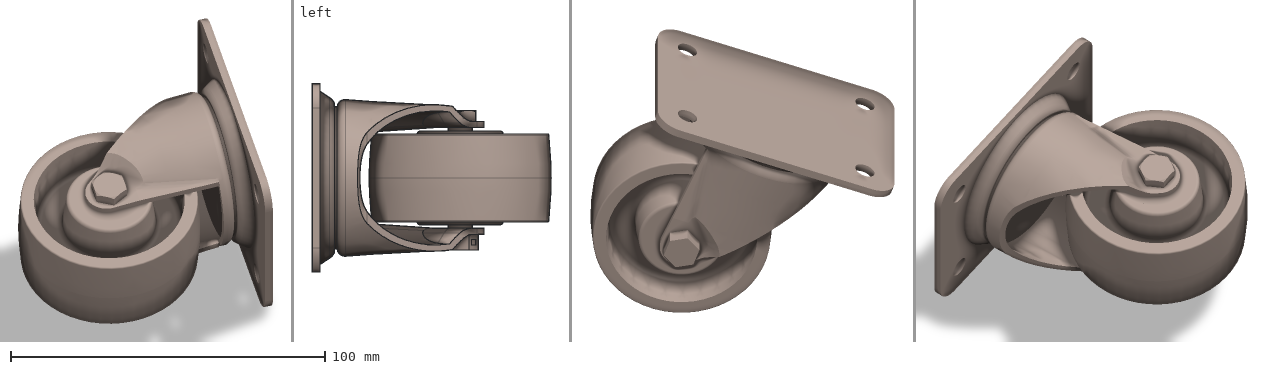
import cadquery as cq
import math


OVERALL_LENGTH = 84.0
PLATE_LENGTH = 80.0
PLATE_WIDTH = 60.0
PLATE_THICKNESS = 2.5
PLATE_CORNER_RADIUS = 7.7
MOUNT_HOLE_PITCH_X = 60.0
MOUNT_HOLE_PITCH_Z = 40.0
MOUNT_HOLE_DIAMETER = 6.5

RACE_BASE_RADIUS = 27.55
RACE_SHOULDER_RADIUS = 25.5
RACE_SHOULDER_Y = -5.55
RACE_END_RADIUS = 23.8
RACE_END_Y = -7.05
NECK_RADIUS = 22.7

FORK_TOP_Y = -7.9
FORK_WALL = 2.0
FORK_RADIUS = 24.95
FORK_TOP_FILLET = 2.6
FORK_RIM_Y = -11.9
FORK_TAPER = 0.055
FORK_FRONT_Y = -14.4
FORK_EDGE_START = (-19.8, -17.5)
FORK_BACK_TOP_X = 19.15
EAR_Z = 18.0
EAR_BEND_Y = -38.6
BACK_TOP_Z = 16.1
BACK_FILLET = 2.35
EAR_CENTER = (14.95, -48.0)
EAR_RADIUS = 6.7
DISH_FLAT_RADIUS = 6.05
DISH_RIM_Z = 23.7
DISH_BEND = 3.2
DISH_SLOPE = 45.0
DISH_ANGLE = 52.0

AXLE_Y = -47.0
WHEEL_RADIUS = 29.0
WHEEL_HALF_WIDTH = 14.0
TREAD_EDGE_RADIUS = 28.2
TREAD_FILLET = 0.5
RIM_MOUTH_RADIUS = 24.0
RIM_ROOT_RADIUS = 23.0
WEB_HALF_THICKNESS = 2.0
WEB_FILLET = 1.6
HUB_HALF_WIDTH = 14.95
HUB_ROOT_RADIUS = 14.95
HUB_TOP_RADIUS = 13.7
HUB_FILLET = 1.1

BUSH_RADIUS = 10.1
SPACER_RADIUS = 3.9
BOLT_RADIUS = 3.0
HEX_ACROSS_FLATS = 10.0
BOLT_HEAD_HEIGHT = 3.5
HEAD_CHAMFER_HEIGHT = 0.4
NUT_HEIGHT = 4.95
NUT_MARK_LENGTH = 2.7
NUT_MARK_HEIGHT = 1.8
NUT_MARK_DEPTH = 0.1
NUT_MARK_ANGLE = 240.0

REACH = 67.2

AXLE_X = OVERALL_LENGTH - PLATE_LENGTH / 2 - WHEEL_RADIUS
EAR_INNER_Z = EAR_Z - FORK_WALL
HEX_DIAMETER = HEX_ACROSS_FLATS / math.cos(math.radians(30))


def at_axle(body):
    """Move a body built around the Z axis onto the wheel axle."""
    return body.translate((AXLE_X, AXLE_Y, 0))


def cylinder(radius, z_low, z_high):
    return cq.Workplane("XY").workplane(offset=z_low).circle(radius).extrude(z_high - z_low)


def mirrored(shape):
    """A shape together with its mirror image across the mid-plane z = 0."""
    return shape.union(shape.mirror("XY"))


def make_plate():
    plate = (
        cq.Workplane("XZ")
        .rect(PLATE_LENGTH, PLATE_WIDTH)
        .extrude(PLATE_THICKNESS)
        .edges("|Y")
        .fillet(PLATE_CORNER_RADIUS)
    )
    holes = (
        cq.Workplane("XZ")
        .rect(MOUNT_HOLE_PITCH_X, MOUNT_HOLE_PITCH_Z, forConstruction=True)
        .vertices()
        .circle(MOUNT_HOLE_DIAMETER / 2)
        .extrude(PLATE_THICKNESS)
    )
    race = (
        cq.Workplane("XY")
        .moveTo(0, -PLATE_THICKNESS)
        .lineTo(RACE_BASE_RADIUS, -PLATE_THICKNESS)
        .lineTo(RACE_SHOULDER_RADIUS, RACE_SHOULDER_Y)
        .tangentArcPoint((RACE_END_RADIUS, RACE_END_Y), relative=False)
        .lineTo(NECK_RADIUS, RACE_END_Y)
        .lineTo(NECK_RADIUS, FORK_TOP_Y)
        .lineTo(0, FORK_TOP_Y)
        .close()
        .revolve(360, (0, 0), (0, 1))
    )
    return plate.cut(holes).union(race)


def fork_radius(y):
    """Outer radius of the tapered fork wall at height y."""
    return FORK_RADIUS - FORK_TAPER * (FORK_TOP_Y - FORK_TOP_FILLET - y)


def make_fork_cap():
    """Round cup that closes the fork against the race."""
    fillet_y = FORK_TOP_Y - FORK_TOP_FILLET
    flat_radius = FORK_RADIUS - FORK_TOP_FILLET
    ceiling_y = FORK_TOP_Y - FORK_WALL
    rim_radius = fork_radius(FORK_RIM_Y)
    return (
        cq.Workplane("XY")
        .moveTo(0, FORK_TOP_Y)
        .lineTo(flat_radius, FORK_TOP_Y)
        .radiusArc((FORK_RADIUS, fillet_y), FORK_TOP_FILLET)
        .lineTo(rim_radius, FORK_RIM_Y)
        .lineTo(rim_radius - FORK_WALL, FORK_RIM_Y)
        .lineTo(fork_radius(ceiling_y) - FORK_WALL, ceiling_y)
        .lineTo(0, ceiling_y)
        .close()
        .revolve(360, (0, 0), (0, 1))
    )


def dish_section(plane, start, inset):
    """S-shaped half section of the dish; an inset gives the inner face of the wall."""
    slope = math.radians(DISH_SLOPE)
    rise = DISH_RIM_Z - EAR_Z
    bend_run = DISH_BEND * math.sin(slope)
    bend_rise = DISH_BEND * (1 - math.cos(slope))
    rim_radius = DISH_FLAT_RADIUS + 2 * bend_run + (rise - 2 * bend_rise) / math.tan(slope)
    floor_bend = DISH_BEND + inset
    rim_bend = DISH_BEND - inset
    floor_z = EAR_Z - inset
    rim_z = DISH_RIM_Z - inset
    wall_bottom = (
        DISH_FLAT_RADIUS + floor_bend * math.sin(slope),
        floor_z + floor_bend * (1 - math.cos(slope)),
    )
    wall_top = (
        rim_radius - rim_bend * math.sin(slope),
        rim_z - rim_bend * (1 - math.cos(slope)),
    )
    return (
        cq.Workplane(plane)
        .moveTo(start, floor_z)
        .lineTo(DISH_FLAT_RADIUS, floor_z)
        .radiusArc(wall_bottom, -floor_bend)
        .lineTo(*wall_top)
        .radiusArc((rim_radius, rim_z), rim_bend)
        .lineTo(rim_radius, REACH)
        .lineTo(start, REACH)
        .close()
    )


def make_dish(inset):
    """Space pressed into a leg: round about the ear centre, running out downwards and towards +X."""
    center = (*EAR_CENTER, 0)
    angle = math.radians(DISH_ANGLE)
    along = (math.cos(angle), math.sin(angle), 0)
    across = (-math.sin(angle), math.cos(angle), 0)
    upright = cq.Plane(origin=center, xDir=(-1, 0, 0), normal=(0, 1, 0))
    slanted = cq.Plane(origin=center, xDir=across, normal=along)
    round_part = dish_section(upright, 0, inset).revolve(90 - DISH_ANGLE, (0, 0), (0, -1))
    lower_part = dish_section(upright, -REACH, inset).extrude(-REACH)
    slanted_part = dish_section(slanted, -REACH, inset).extrude(REACH)
    return round_part.union(lower_part).union(slanted_part)


def make_leg_envelope(inset):
    """Solid bounded by the outer face of the legs, or by their inner face when inset by the wall."""
    top_y = FORK_TOP_Y - FORK_TOP_FILLET
    end_y = -REACH
    cone = (
        cq.Workplane("XY")
        .moveTo(0, top_y)
        .lineTo(fork_radius(top_y) - inset, top_y)
        .lineTo(fork_radius(end_y) - inset, end_y)
        .lineTo(0, end_y)
        .close()
        .revolve(360, (0, 0), (0, 1))
    )
    flat_back = mirrored(
        cq.Workplane("YZ")
        .moveTo(end_y, 0)
        .lineTo(end_y, EAR_Z - inset)
        .lineTo(EAR_BEND_Y, EAR_Z - inset)
        .lineTo(FORK_RIM_Y, BACK_TOP_Z - inset)
        .lineTo(FORK_RIM_Y, 0)
        .close()
        .extrude(REACH)
    )
    envelope = cone.union(flat_back)
    envelope = envelope.edges("not(%LINE or %CIRCLE)").fillet(BACK_FILLET + inset)
    return envelope.cut(mirrored(make_dish(inset)))


def ear_tangent_point(point, side):
    """Point where a line from the given point touches the ear circle on its left (+1) or right (-1)."""
    dx = point[0] - EAR_CENTER[0]
    dy = point[1] - EAR_CENTER[1]
    angle = math.atan2(dy, dx) + side * math.acos(EAR_RADIUS / math.hypot(dx, dy))
    return (
        EAR_CENTER[0] + EAR_RADIUS * math.cos(angle),
        EAR_CENTER[1] + EAR_RADIUS * math.sin(angle),
    )


def make_leg_outline():
    """Side outline of the legs, extruded through both of them."""
    top_y = FORK_TOP_Y - FORK_TOP_FILLET
    back_top = (FORK_BACK_TOP_X, FORK_RIM_Y)
    ear_bottom = (EAR_CENTER[0], EAR_CENTER[1] - EAR_RADIUS)
    return (
        cq.Workplane("XY")
        .moveTo(FORK_BACK_TOP_X, top_y)
        .lineTo(*back_top)
        .lineTo(*ear_tangent_point(back_top, -1))
        .threePointArc(ear_bottom, ear_tangent_point(FORK_EDGE_START, 1))
        .lineTo(*FORK_EDGE_START)
        .tangentArcPoint((-FORK_RADIUS, FORK_FRONT_Y), relative=False)
        .lineTo(-FORK_RADIUS, top_y)
        .close()
        .extrude(REACH, both=True)
    )


def make_fork():
    legs = make_leg_envelope(0).cut(make_leg_envelope(FORK_WALL)).intersect(make_leg_outline())
    axle_hole = at_axle(cylinder(BOLT_RADIUS, -EAR_Z, EAR_Z))
    return make_fork_cap().union(legs).cut(axle_hole)


def make_wheel():
    """Crowned tread, web and hub, turned around the axle; one half is drawn and mirrored."""
    half = (
        cq.Workplane("XZ")
        .moveTo(BUSH_RADIUS, 0)
        .lineTo(BUSH_RADIUS, HUB_HALF_WIDTH)
        .lineTo(HUB_TOP_RADIUS - HUB_FILLET, HUB_HALF_WIDTH)
        .radiusArc((HUB_TOP_RADIUS, HUB_HALF_WIDTH - HUB_FILLET), HUB_FILLET)
        .lineTo(HUB_ROOT_RADIUS, WEB_HALF_THICKNESS + WEB_FILLET)
        .radiusArc((HUB_ROOT_RADIUS + WEB_FILLET, WEB_HALF_THICKNESS), -WEB_FILLET)
        .lineTo(RIM_ROOT_RADIUS - WEB_FILLET, WEB_HALF_THICKNESS)
        .radiusArc((RIM_ROOT_RADIUS, WEB_HALF_THICKNESS + WEB_FILLET), -WEB_FILLET)
        .lineTo(RIM_MOUTH_RADIUS, WHEEL_HALF_WIDTH)
        .lineTo(TREAD_EDGE_RADIUS - TREAD_FILLET, WHEEL_HALF_WIDTH)
        .radiusArc((TREAD_EDGE_RADIUS, WHEEL_HALF_WIDTH - TREAD_FILLET), TREAD_FILLET)
    )
    crown_drop = WHEEL_RADIUS - TREAD_EDGE_RADIUS
    crown_width = WHEEL_HALF_WIDTH - TREAD_FILLET
    crown_radius = (crown_width**2 + crown_drop**2) / (2 * crown_drop)
    half = half.radiusArc((WHEEL_RADIUS, 0), crown_radius).close().revolve(360, (0, 0), (0, 1))
    return at_axle(mirrored(half))


def make_bush():
    bush = cylinder(BUSH_RADIUS, -HUB_HALF_WIDTH, HUB_HALF_WIDTH)
    spacer = cylinder(SPACER_RADIUS, -EAR_INNER_Z, EAR_INNER_Z)
    bore = cylinder(BOLT_RADIUS, -EAR_INNER_Z, EAR_INNER_Z)
    return at_axle(bush.union(spacer).cut(bore))


def make_bolt():
    head_top_z = EAR_Z + BOLT_HEAD_HEIGHT
    head = (
        cq.Workplane("XY")
        .workplane(offset=EAR_Z)
        .polygon(6, HEX_DIAMETER)
        .extrude(BOLT_HEAD_HEIGHT)
    )
    corner_chamfer = HEX_DIAMETER / 2 - HEX_ACROSS_FLATS / 2
    chamfer_envelope = (
        cylinder(HEX_DIAMETER / 2, EAR_Z, head_top_z)
        .faces(">Z")
        .chamfer(HEAD_CHAMFER_HEIGHT, corner_chamfer)
    )
    shank = cylinder(BOLT_RADIUS, -EAR_Z - NUT_HEIGHT, EAR_Z)
    return at_axle(head.intersect(chamfer_envelope).union(shank))


def make_nut():
    bottom_z = -EAR_Z - NUT_HEIGHT
    nut = (
        cq.Workplane("XY")
        .workplane(offset=bottom_z)
        .polygon(6, HEX_DIAMETER)
        .extrude(NUT_HEIGHT)
        .rotate((0, 0, 0), (0, 0, 1), 30)
        .cut(cylinder(BOLT_RADIUS, bottom_z, -EAR_Z))
    )
    mark = (
        cq.Workplane("XY")
        .box(2 * NUT_MARK_DEPTH, NUT_MARK_LENGTH, NUT_MARK_HEIGHT)
        .translate((HEX_ACROSS_FLATS / 2, 0, -EAR_Z - NUT_HEIGHT / 2))
        .rotate((0, 0, 0), (0, 0, 1), NUT_MARK_ANGLE)
    )
    return at_axle(nut.cut(mark))


plate = make_plate()
fork = make_fork()
wheel = make_wheel()
bush = make_bush()
bolt = make_bolt()
nut = make_nut()

bodies = [plate, fork, wheel, bush, bolt, nut]
result = cq.Compound.makeCompound([body.solids().val() for body in bodies])